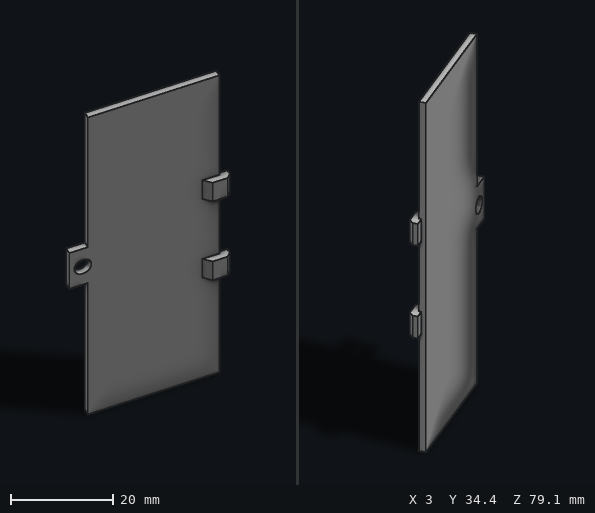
import cadquery as cq

plate_height = 79.1
plate_width = 28.4
plate_thickness = 1.5

tab_length = 4.0
tab_height = 9.6
tab_offset = 0.2
hole_diameter = 3.6
hole_inset = 2.9

total_depth = 3.0
clip_overhang = 2.0
clip_height = 5.0
clip_spacing = 21.0
clip_offset = 0.1
lip_setback = 0.95
tip_chamfer = 0.95
clip_flat = 3.25

plate_edge = plate_width / 2
tab_end = -plate_edge - tab_length


def make_plate():
    return cq.Workplane("XY").box(
        plate_thickness, plate_width, plate_height, centered=(False, True, True)
    )


def make_tab():
    return (
        cq.Workplane("XY")
        .box(plate_thickness, tab_length, tab_height, centered=(False, False, True))
        .translate((0, tab_end, tab_offset))
    )


def make_hole():
    return (
        cq.Workplane("YZ")
        .center(tab_end + hole_inset, tab_offset)
        .circle(hole_diameter / 2)
        .extrude(plate_thickness)
    )


def make_clip(center_z):
    tip = plate_edge + clip_overhang
    flat_start = tip - tip_chamfer
    flat_end = flat_start - clip_flat
    slope_end = flat_end - (total_depth - plate_thickness)
    profile = [
        (lip_setback, tip),
        (total_depth - tip_chamfer, tip),
        (total_depth, flat_start),
        (total_depth, flat_end),
        (plate_thickness, slope_end),
        (plate_thickness, plate_edge),
        (lip_setback, plate_edge),
    ]
    return (
        cq.Workplane("XY")
        .workplane(offset=center_z - clip_height / 2)
        .polyline(profile)
        .close()
        .extrude(clip_height)
    )


result = make_plate().union(make_tab()).cut(make_hole())
for side in (-1, 1):
    result = result.union(make_clip(clip_offset + side * clip_spacing / 2))